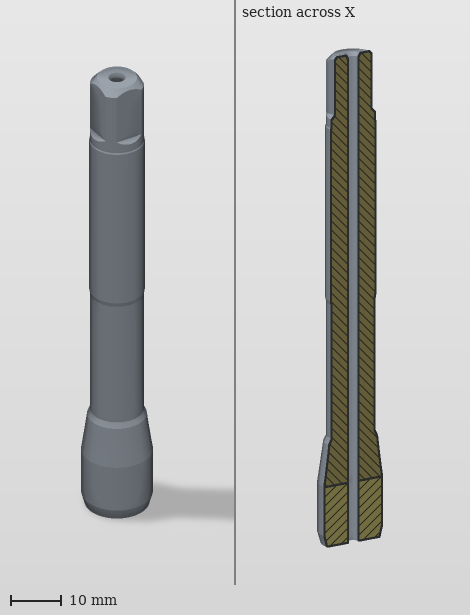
import cadquery as cq

total_length = 100.0
coolant_diameter = 2.5

head_diameter = 14.2
head_tip_diameter = 12.9
head_chamfer_height = 2.3
head_height = 12.4

taper_top_diameter = 11.8
taper_top = 20.8
shoulder_top = 22.0
neck_diameter = 10.6
neck_top = 49.3

shank_diameter = 11.0
shank_bottom = 50.2
shank_top = 85.6
shank_edge_height = 0.3

collar_diameter = 10.7
square_width = 9.0
flat_bottom = 88.1
run_out_height = 0.8
top_face_diameter = 7.9
top_chamfer = (collar_diameter - top_face_diameter) / 2

center_diameter = 3.4
center_depth = 0.8


def revolve_profile(steps):
    """Revolve a solid about Z from (diameter, height) pairs listed upwards."""
    outline = [(diameter / 2, height) for diameter, height in steps]
    axis_bottom = (0, steps[0][1])
    axis_top = (0, steps[-1][1])
    return (
        cq.Workplane("XZ")
        .polyline([axis_bottom, *outline, axis_top])
        .close()
        .revolve(360, (0, 0), (0, 1))
    )


def make_coolant_hole():
    """Straight hole along the whole length."""
    return cq.Workplane("XY").circle(coolant_diameter / 2).extrude(total_length)


def make_center_countersink():
    """Conical entry of the coolant hole."""
    return revolve_profile([
        (coolant_diameter, total_length - center_depth),
        (center_diameter, total_length),
    ])


def make_flat_cutter():
    """Cutter for the +X flat, with a sloping run-out at its lower end."""
    inner = square_width / 2
    outer = collar_diameter / 2
    return (
        cq.Workplane("XZ")
        .polyline([
            (inner, flat_bottom),
            (outer, flat_bottom - run_out_height),
            (outer, total_length),
            (inner, total_length),
        ])
        .close()
        .extrude(collar_diameter / 2, both=True)
    )


def make_head():
    """Chamfered threaded head with the coolant hole through it."""
    head = revolve_profile([
        (head_tip_diameter, 0),
        (head_diameter, head_chamfer_height),
        (head_diameter, head_height),
    ])
    return head.cut(make_coolant_hole())


def make_shank():
    """Shank from the taper above the head up to the driving square."""
    shank = revolve_profile([
        (head_diameter, head_height),
        (taper_top_diameter, taper_top),
        (neck_diameter, shoulder_top),
        (neck_diameter, neck_top),
        (shank_diameter, shank_bottom),
        (shank_diameter, shank_top - shank_edge_height),
        (collar_diameter, shank_top),
        (collar_diameter, total_length - top_chamfer),
        (top_face_diameter, total_length),
    ])
    flat_cutter = make_flat_cutter()
    for angle in (0, 90, 180, 270):
        shank = shank.cut(flat_cutter.rotate((0, 0, 0), (0, 0, 1), angle))
    return shank.cut(make_coolant_hole()).cut(make_center_countersink())


head = make_head()
shank = make_shank()
result = cq.Compound.makeCompound([head.val(), shank.val()])